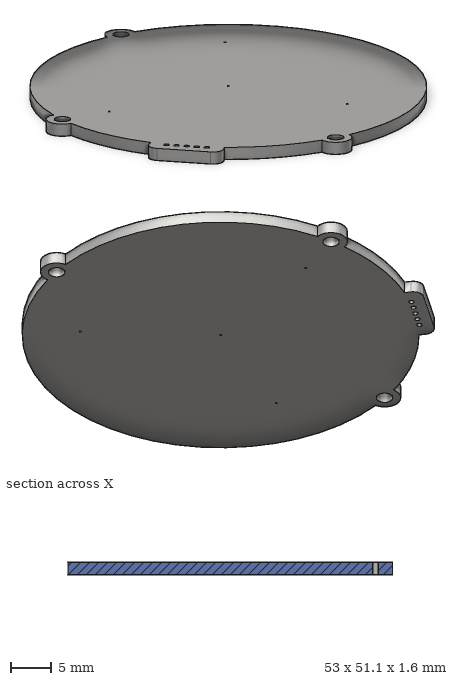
import cadquery as cq
import math

overall_length = 53.0
board_radius = 24.6
thickness = 1.6

lug_radius = 2.0
lug_circle_radius = overall_length / 2 - lug_radius
lug_hole_diameter = 2.0
lug_angles = (0, 180, 270)

tab_angle = -45
tab_reach = 26.3
tab_width = 9.45
tab_corner_radius = 1.3
pin_count = 5
pin_pitch = 1.25
pin_hole_diameter = 0.65
pin_row_radius = 24.6

pinhole_diameter = 0.2
pinhole_centres = ((0, 0), (-14.85, 9.1), (14.05, 8.5), (0.6, -17.95))


def cylinder(diameter, x, y):
    """Upright cylinder through the full board thickness."""
    return cq.Workplane("XY").center(x, y).circle(diameter / 2).extrude(thickness)


def lug_centre(angle):
    """X and Y of the lug at this angle from +X, in degrees."""
    turn = math.radians(angle)
    return lug_circle_radius * math.cos(turn), lug_circle_radius * math.sin(turn)


def connector_tab():
    """Tab with rounded outer corners, reaching outward from the board centre."""
    tab = cq.Workplane("XY").box(tab_reach, tab_width, thickness, centered=(False, True, False))
    tab = tab.edges("|Z and >X").fillet(tab_corner_radius)
    return tab.rotate((0, 0, 0), (0, 0, 1), tab_angle)


def pin_holes():
    """Straight row of pin holes, parallel to the outer edge of the tab."""
    row = (
        cq.Workplane("XY")
        .center(pin_row_radius, 0)
        .rarray(0.55, pin_pitch, 1, pin_count)
        .circle(pin_hole_diameter / 2)
        .extrude(thickness)
    )
    return row.rotate((0, 0, 0), (0, 0, 1), tab_angle)


result = cylinder(2 * board_radius, 0, 0).union(connector_tab())
for angle in lug_angles:
    result = result.union(cylinder(2 * lug_radius, *lug_centre(angle)))

for angle in lug_angles:
    result = result.cut(cylinder(lug_hole_diameter, *lug_centre(angle)))
result = result.cut(pin_holes())
for x, y in pinhole_centres:
    result = result.cut(cylinder(pinhole_diameter, x, y))